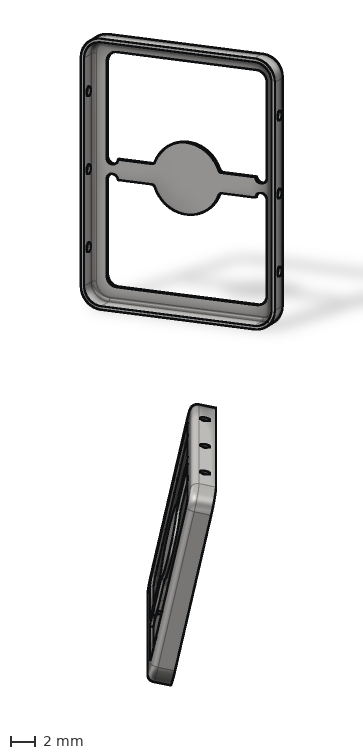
import cadquery as cq

width = 17.1
height = 22.6
depth = 2.0
sheet = 0.3
corner_radius = 1.8
outer_edge_radius = 0.6
inner_edge_radius = outer_edge_radius - sheet

rim_width = 1.5
window_width = width - 2 * rim_width
window_height = height - 2 * rim_width
window_corner_radius = 0.9

bar_height = 1.7
disc_radius = 3.0
disc_blend_radius = 0.3

neck_height = 0.8
relief_radius = 0.5

hole_diameter = 0.8
hole_pitch = 6.5
hole_count = 3
hole_from_open_edge = 0.9

open_y = -depth / 2
floor_outer_y = depth / 2
floor_inner_y = floor_outer_y - sheet


def plane_at(y):
    """XZ sketch plane at the given Y, with positive extrusion towards +Y and local y along -Z."""
    return cq.Workplane(cq.Plane(origin=(0, y, 0), xDir=(1, 0, 0), normal=(0, 1, 0)))


def rounded_block(size_x, size_z, radius, start_y, end_y):
    block = plane_at(start_y).rect(size_x, size_z).extrude(end_y - start_y)
    return block.edges("|Y").fillet(radius)


def make_tray():
    outer = rounded_block(width, height, corner_radius, open_y, floor_outer_y)
    outer = outer.faces(">Y").edges().fillet(outer_edge_radius)
    cavity = rounded_block(
        width - 2 * sheet, height - 2 * sheet, corner_radius - sheet, open_y, floor_inner_y
    )
    cavity = cavity.faces(">Y").edges().fillet(inner_edge_radius)
    return outer.cut(cavity)


def make_window():
    return rounded_block(
        window_width, window_height, window_corner_radius, floor_inner_y, floor_outer_y
    )


def make_crossbar():
    bar = plane_at(floor_inner_y).rect(window_width, bar_height).extrude(sheet)
    disc = plane_at(floor_inner_y).circle(disc_radius).extrude(sheet)
    crossbar = bar.union(disc)
    around_disc = cq.selectors.BoxSelector(
        (-disc_radius, open_y, -bar_height),
        (disc_radius, floor_outer_y + sheet, bar_height),
    )
    crossbar = crossbar.edges("|Y").edges(around_disc).fillet(disc_blend_radius)

    relief_x = window_width / 2 - relief_radius
    relief_z = neck_height / 2 + relief_radius
    relief_centers = [(sx * relief_x, sz * relief_z) for sx in (-1, 1) for sz in (-1, 1)]
    reliefs = plane_at(floor_inner_y).pushPoints(relief_centers).circle(relief_radius).extrude(sheet)
    return crossbar.cut(reliefs)


def make_side_holes():
    return (
        cq.Workplane("YZ", origin=(0, open_y + hole_from_open_edge, 0))
        .rarray(1, hole_pitch, 1, hole_count)
        .circle(hole_diameter / 2)
        .extrude(width / 2, both=True)
    )


result = make_tray().cut(make_window()).union(make_crossbar()).cut(make_side_holes())